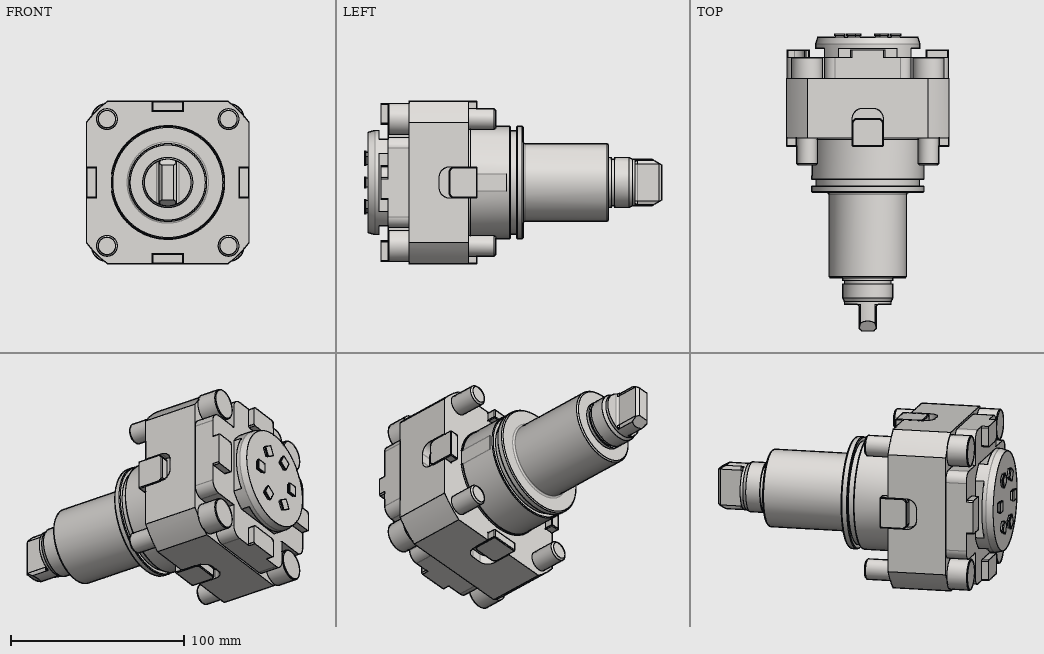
import cadquery as cq
import math


block_width = 94.0
block_length = 34.3
block_corner_radius = 58.4

flange_rear = 46.5
arm_width_x = 52.0
arm_width_z = 50.0
arm_corner_radius = 6.0
arm_reach_x = 46.7
arm_reach_z = 45.7

rear_key_width = 19.8
rear_key_inner = 33.5
rear_key_height = 4.1
rear_key_chamfer = 0.8
key_notch_depth = 10.3
key_notch_floor = 2.8
key_notch_radius = 6.0

key_width = 18.0
key_depth = 6.0
key_front = -5.0
key_rear = 11.2
key_edge_chamfer = 0.5
key_corner_chamfer = 1.8
slot_rear = 17.0
slot_corner_radius = 6.0

screw_x = 35.1
screw_z = 36.6
screw_head_diameter = 18.0
screw_diameter = 12.0
screw_front = -15.8
screw_tip_chamfer = 1.0
screw_head_chamfer = 0.5

nut_diameter = 60.3
nut_rear_diameter = 58.0
nut_taper_start = 54.1
nut_rear = 58.1
nut_flat_width = 50.0
nut_flat_end = 51.7

dog_count = 6
dog_circle_radius = 16.1
dog_head_width = 6.1
dog_stem_width = 5.3
dog_stem_height = 1.1
dog_height = 1.9

pilot_diameter = 65.0
collar_diameter = 65.8
collar_width = 1.0
groove_diameter = 60.0
groove_rear = -24.2
groove_front = -27.7
groove_rim_chamfer = 0.5
pilot_front = -31.7
pilot_chamfer = 0.7
pilot_flat_width = 10.0
pilot_flat_front = -22.0
shank_diameter = 45.0
shank_root_fillet = 1.0
shank_front = -80.8
shank_chamfer = 0.8
spindle_diameter = 29.0
spindle_neck_diameter = 27.0
neck_rear = -82.5
neck_front = -84.3
spindle_chamfer_start = -92.6
spindle_chamfer_end = -94.6
spindle_face = -96.2

overall_length = 171.61
blade_front = nut_rear + dog_height - overall_length
blade_thickness = 10.0
blade_face_half_height = 10.6
blade_edge_half_thickness = 4.0
blade_root_fillet = 1.4
blade_tip_half_height = 10.1
blade_tip_bevel_length = 5.8
blade_tip_chamfer = 1.6


def cylinder(diameter, y_start, y_end, x=0.0, z=0.0):
    """Cylinder along Y between two Y positions."""
    plane = cq.Workplane("XZ", origin=(x, y_start, z))
    return plane.circle(diameter / 2).extrude(y_start - y_end)


def box(x_range, y_range, z_range):
    """Box given by its (low, high) limits along each axis."""
    size = [high - low for low, high in (x_range, y_range, z_range)]
    corner = (x_range[0], y_range[0], z_range[0])
    return cq.Workplane("XY").box(*size, centered=False).translate(corner)


def centered_box(width, y_range, height):
    """Box centered on the Y axis."""
    half_x = width / 2
    half_z = height / 2
    return box((-half_x, half_x), y_range, (-half_z, half_z))


def around_axis(shape, angle):
    """Copy of a shape turned about the Y axis."""
    return shape.rotate((0, 0, 0), (0, 1, 0), angle)


def make_block():
    square = centered_box(block_width, (0, block_length), block_width)
    return square.intersect(cylinder(2 * block_corner_radius, 0, block_length))


def make_flange():
    y_range = (block_length, flange_rear)
    arm_x = centered_box(2 * arm_reach_x, y_range, arm_width_x)
    arm_z = centered_box(arm_width_z, y_range, 2 * arm_reach_z)
    arm_x = arm_x.edges("|Y").fillet(arm_corner_radius)
    arm_z = arm_z.edges("|Y").fillet(arm_corner_radius)
    return arm_x.union(arm_z)


def make_rear_key_blank(reach):
    """Sharp-edged rear key on the +X arm, its outer face at the given reach."""
    half = rear_key_width / 2
    y_range = (flange_rear, flange_rear + rear_key_height)
    return box((rear_key_inner, reach), y_range, (-half, half))


def make_rear_key(reach):
    return make_rear_key_blank(reach).edges("|Y").chamfer(rear_key_chamfer)


def make_notched_key():
    """Rear key on the -X arm with a round-cornered notch in its outer upper corner."""
    key = around_axis(make_rear_key_blank(arm_reach_x), 180)
    y_range = (flange_rear, flange_rear + rear_key_height)
    notch_wall = key_notch_depth - arm_reach_x
    notch = box((-block_width, notch_wall), y_range, (key_notch_floor, rear_key_width))
    notch = notch.edges("|Y and >X and <Z").fillet(key_notch_radius)
    key = key.cut(notch)
    return key.edges("|Y and (<X or >X or >Z)").chamfer(rear_key_chamfer)


def make_rear_keys():
    keys = make_rear_key(arm_reach_x).union(make_notched_key())
    for angle in (90, 270):
        keys = keys.union(around_axis(make_rear_key(arm_reach_z), angle))
    return keys


def make_slot():
    """Round-cornered key slot in the top face of the block, open at the front."""
    half = key_width / 2
    top = block_width / 2
    slot = box((-half, half), (0, slot_rear), (top - key_depth, top))
    return slot.edges("|Z and >Y").fillet(slot_corner_radius)


def make_front_key():
    """Front key in the top slot."""
    half = key_width / 2
    top = block_width / 2
    key = box((-half, half), (key_front, key_rear), (top - key_depth, top))
    key = key.edges("|Z and >Y").chamfer(key_corner_chamfer)
    return key.edges().chamfer(key_edge_chamfer)


def make_screw(x, z):
    shaft = cylinder(screw_diameter, screw_front, block_length, x, z)
    head = cylinder(screw_head_diameter, block_length, flange_rear, x, z)
    shaft = shaft.faces("<Y").chamfer(screw_tip_chamfer)
    head = head.faces(">Y").chamfer(screw_head_chamfer)
    return shaft.union(head)


def make_nut():
    nut = (
        cq.Workplane("XY")
        .moveTo(0, flange_rear)
        .lineTo(nut_diameter / 2, flange_rear)
        .lineTo(nut_diameter / 2, nut_taper_start)
        .lineTo(nut_rear_diameter / 2, nut_rear)
        .lineTo(0, nut_rear)
        .close()
        .revolve(360, (0, 0, 0), (0, 1, 0))
    )
    flats_range = (flange_rear, nut_flat_end)
    waste = centered_box(2 * nut_diameter, flats_range, 2 * nut_diameter)
    waste = waste.cut(centered_box(nut_flat_width, flats_range, nut_flat_width))
    return nut.cut(waste)


def make_dog():
    """Square dog with a slightly wider head, on the +X side."""
    stem_top = nut_rear + dog_stem_height
    stem = centered_box(dog_stem_width, (nut_rear, stem_top), dog_stem_width)
    head = centered_box(dog_head_width, (stem_top, nut_rear + dog_height), dog_head_width)
    return stem.union(head).translate((dog_circle_radius, 0, 0))


def make_groove():
    """Ring-shaped groove cutter with flared rims."""
    rim = pilot_diameter / 2
    floor = groove_diameter / 2
    flare = groove_rim_chamfer
    return (
        cq.Workplane("XY")
        .moveTo(floor, groove_rear)
        .lineTo(rim - flare, groove_rear)
        .lineTo(rim, groove_rear + flare)
        .lineTo(rim, groove_front - flare)
        .lineTo(rim - flare, groove_front)
        .lineTo(floor, groove_front)
        .close()
        .revolve(360, (0, 0, 0), (0, 1, 0))
    )


def make_pilot():
    """Pilot with a collar against the block, a groove and a flat on the -X side."""
    pilot = cylinder(pilot_diameter, pilot_front, -collar_width)
    pilot = pilot.faces("<Y").chamfer(pilot_chamfer)
    pilot = pilot.union(cylinder(collar_diameter, -collar_width, 0))
    groove = make_groove()
    flat_x = -math.sqrt((pilot_diameter / 2) ** 2 - (pilot_flat_width / 2) ** 2)
    half_flat = pilot_flat_width / 2
    flat = box((-pilot_diameter, flat_x), (pilot_flat_front, 0), (-half_flat, half_flat))
    return pilot.cut(groove).cut(flat)


def make_shank():
    """Plain shank with a fillet flaring into the pilot."""
    radius = shank_diameter / 2
    root = shank_root_fillet
    return (
        cq.Workplane("XY")
        .moveTo(0, pilot_front)
        .lineTo(radius + root, pilot_front)
        .radiusArc((radius, pilot_front - root), -root)
        .lineTo(radius, shank_front + shank_chamfer)
        .lineTo(radius - shank_chamfer, shank_front)
        .lineTo(0, shank_front)
        .close()
        .revolve(360, (0, 0, 0), (0, 1, 0))
    )


def make_spindle():
    """Stepped spindle; its front part is milled to a blade afterwards."""
    outer = spindle_diameter / 2
    inner = spindle_neck_diameter / 2
    return (
        cq.Workplane("XY")
        .moveTo(0, shank_front)
        .lineTo(outer, shank_front)
        .lineTo(outer, neck_rear)
        .lineTo(inner, neck_rear)
        .lineTo(inner, neck_front)
        .lineTo(outer, neck_front)
        .lineTo(outer, spindle_chamfer_start)
        .lineTo(inner, spindle_chamfer_end)
        .lineTo(inner, spindle_face)
        .lineTo(0, spindle_face)
        .close()
        .revolve(360, (0, 0, 0), (0, 1, 0))
    )


def make_blade_section():
    """Blade with sloped long edges, before its round outline is applied."""
    half = blade_thickness / 2
    radius = spindle_neck_diameter / 2
    edge = blade_edge_half_thickness
    face = blade_face_half_height
    corners = [(edge, radius), (half, face), (half, -face), (edge, -radius)]
    corners += [(-x, z) for x, z in reversed(corners)]
    plane = cq.Workplane("XZ", origin=(0, spindle_face, 0))
    return plane.polyline(corners).close().extrude(spindle_face - blade_front)


def make_blade_side_profile():
    """Blade height along Y, beveled toward the tip."""
    radius = spindle_neck_diameter / 2
    bevel_start = blade_front + blade_tip_bevel_length
    tip = blade_tip_half_height
    half_profile = [(spindle_face, radius), (bevel_start, radius), (blade_front, tip)]
    outline = half_profile + [(y, -z) for y, z in reversed(half_profile)]
    plane = cq.Workplane("YZ", origin=(-radius, 0, 0))
    return plane.polyline(outline).close().extrude(2 * radius)


def make_root_fillet(side):
    """Concave fillet between the spindle face and one side of the blade."""
    size = blade_root_fillet
    start = side * blade_thickness / 2
    middle = size * (1 - math.sqrt(0.5))
    return (
        cq.Workplane("XY", origin=(0, 0, -spindle_diameter / 2))
        .moveTo(start, spindle_face)
        .lineTo(start + side * size, spindle_face)
        .threePointArc(
            (start + side * middle, spindle_face - middle),
            (start, spindle_face - size),
        )
        .close()
        .extrude(spindle_diameter)
    )


def make_blade():
    blade = make_blade_section().intersect(make_blade_side_profile())
    blade = blade.faces("<Y").edges("|Z").chamfer(blade_tip_chamfer)
    for side in (-1, 1):
        blade = blade.union(make_root_fillet(side))
    return blade.intersect(cylinder(spindle_neck_diameter, blade_front, spindle_face))


block = make_block()
for turn in range(4):
    block = block.cut(around_axis(make_slot(), 90 * turn))
    block = block.union(around_axis(make_front_key(), 90 * turn))

result = block.union(make_flange()).union(make_rear_keys())
for sign_x in (-1, 1):
    for sign_z in (-1, 1):
        result = result.union(make_screw(sign_x * screw_x, sign_z * screw_z))

result = result.union(make_nut())
for index in range(dog_count):
    result = result.union(around_axis(make_dog(), index * 360 / dog_count))

result = result.union(make_pilot()).union(make_shank())
result = result.union(make_spindle()).union(make_blade())